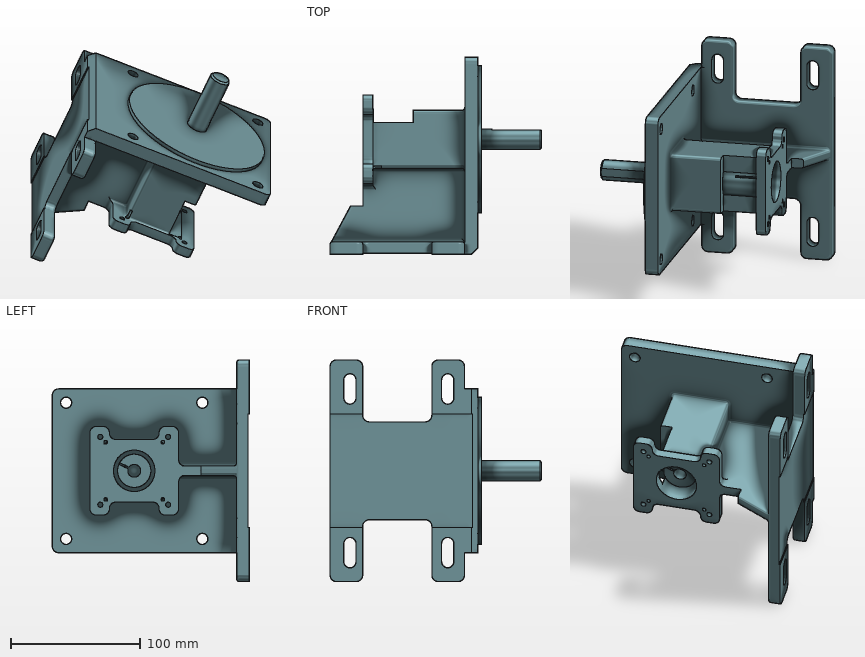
import cadquery as cq


PLATE_BACK_X = 104.2
PLATE_THICKNESS = 10.1
PLATE_FRONT_X = PLATE_BACK_X + PLATE_THICKNESS
PLATE_HALF = 63.5
PLATE_CORNER_R = 5.1
PLATE_BOLT_OFFSET = 52.6
PLATE_BOLT_DIA = 8.4
PILOT_DIA = 113.8
PILOT_HEIGHT = 3.0

AXIS_HEIGHT = 89.0
BASE_BOTTOM_Y = -AXIS_HEIGHT
BASE_THICKNESS = 9.8
BASE_TOP_Y = BASE_BOTTOM_Y + BASE_THICKNESS
BASE_HALF_WIDTH = 85.7
BASE_WAIST_HALF = 37.9
BASE_CORNER_R = 5.1
BASE_EDGE_R = 2.0
FRONT_CHAMFER = 5.0
FOOT_LENGTH = 25.4
FOOT_PITCH = 78.7
SLOT_X = 15.5
SLOT_PITCH = 75.6
SLOT_Z = 63.3
SLOT_LENGTH = 23.3
SLOT_WIDTH = 9.3
RECESS_HALF = 43.7
RECESS_DEPTH = 0.9

MOTOR_FACE_X = 25.5
MOTOR_PLATE_THICKNESS = 7.5
MOTOR_BACK_X = MOTOR_FACE_X + MOTOR_PLATE_THICKNESS
MOTOR_HALF = 34.3
EAR_WIDTH = 15.1
EAR_HEIGHT = 10.1
EAR_R = 5.0
LARGE_SCREW_OFFSET = 26.2
LARGE_SCREW_DIA = 4.0
SMALL_SCREW_OFFSET = 22.1
SMALL_SCREW_DIA = 2.7
SMALL_SCREW_DEPTH = 14.2

TUNNEL_HALF_Y = 22.5
TUNNEL_HALF_Z = 22.5
TUNNEL_EDGE_R = 2.5
CAST_FILLET_R = 2.5
BORE_DIA = 32.0
BORE_END_X = PLATE_BACK_X
NOTCH_START_X = 33.8
NOTCH_END_X = 64.3
NOTCH_FLOOR_Y = 13.0

RIB_THICKNESS = 7.5
RIB_STEP_X = 16.0
RIB_STEP_Y = -51.5
RIB_EDGE_R = 2.0
RIB_PLATE_R = 4.8
STEM_LENGTH = 6.9

PICK_MARGIN = 0.2

COUPLING_FACE_X = 36.9
COUPLING_LENGTH = 36.0
COUPLING_DIA = 25.7
COUPLING_BORE_DIA = 10.0
SLIT_WIDTH = 1.4
SLIT_ANGLE = 26.0

SHAFT_DIA = 16.0
SHAFT_START_X = COUPLING_FACE_X + COUPLING_LENGTH / 2
SHAFT_END_X = 163.5
SHAFT_CHAMFER = 1.4
FLAT_START_X = 125.2
FLAT_DEPTH = 0.7


def box(x_range, y_range, z_range):
    """Axis-aligned block between the given (low, high) pairs."""
    lows, highs = zip(x_range, y_range, z_range)
    sizes = [high - low for low, high in zip(lows, highs)]
    return cq.Workplane().box(*sizes, centered=False).translate(lows)


def cross_section(x):
    """Workplane normal to the shaft axis, with local axes along +Y and +Z."""
    return cq.Workplane("YZ", origin=(x, 0, 0))


def rod(start_x, end_x, diameter):
    return cross_section(start_x).circle(diameter / 2).extrude(end_x - start_x)


def square_pattern(offset):
    return [(y, z) for y in (-offset, offset) for z in (-offset, offset)]


def make_base():
    """Base slab: two feet on each side, rounded along the top and joined by a waist."""
    second_foot_end = FOOT_PITCH + FOOT_LENGTH
    slab = box((0, second_foot_end), (BASE_BOTTOM_Y, BASE_TOP_Y), (-BASE_HALF_WIDTH, BASE_HALF_WIDTH))
    gap_depth = BASE_HALF_WIDTH - BASE_WAIST_HALF
    for side in (-1, 1):
        gap = box(
            (FOOT_LENGTH, FOOT_PITCH),
            (BASE_BOTTOM_Y, BASE_TOP_Y),
            (-gap_depth / 2, gap_depth / 2),
        )
        slab = slab.cut(gap.translate((0, 0, side * (BASE_WAIST_HALF + gap_depth / 2))))
    slab = slab.edges("|Y").fillet(BASE_CORNER_R)
    slab = slab.faces(">Y").edges().fillet(BASE_EDGE_R)
    web = box(
        (second_foot_end - BASE_CORNER_R, PLATE_BACK_X),
        (BASE_BOTTOM_Y, BASE_TOP_Y),
        (-PLATE_HALF, PLATE_HALF),
    )
    return slab.union(web)


def make_flange():
    """Square flange plate, extended down to the underside of the base, with its pilot."""
    plate = box(
        (PLATE_BACK_X, PLATE_FRONT_X),
        (BASE_BOTTOM_Y, PLATE_HALF),
        (-PLATE_HALF, PLATE_HALF),
    )
    plate = plate.edges("|X and >Y").fillet(PLATE_CORNER_R)
    plate = plate.edges("|Z and <Y and >X").chamfer(FRONT_CHAMFER)
    pilot = rod(PLATE_FRONT_X, PLATE_FRONT_X + PILOT_HEIGHT, PILOT_DIA)
    return plate.union(pilot)


def make_tunnel():
    tunnel = box(
        (MOTOR_FACE_X, PLATE_BACK_X),
        (-TUNNEL_HALF_Y, TUNNEL_HALF_Y),
        (-TUNNEL_HALF_Z, TUNNEL_HALF_Z),
    )
    return tunnel.edges("|X").fillet(TUNNEL_EDGE_R)


def make_rib():
    """Rib with a sloping front edge, carrying the tunnel; its root lies inside the base."""
    root_y = BASE_TOP_Y - BASE_EDGE_R
    rib = (
        cq.Workplane("XY", origin=(0, 0, -RIB_THICKNESS / 2))
        .moveTo(0, root_y)
        .lineTo(RIB_STEP_X, RIB_STEP_Y)
        .lineTo(MOTOR_FACE_X, RIB_STEP_Y)
        .lineTo(MOTOR_FACE_X, 0)
        .lineTo(PLATE_BACK_X, 0)
        .lineTo(PLATE_BACK_X, root_y)
        .close()
        .extrude(RIB_THICKNESS)
    )
    slope_middle = (RIB_STEP_X / 2, (root_y + RIB_STEP_Y) / 2)
    slope_edges = rib.edges(
        cq.selectors.BoxSelector(
            (slope_middle[0] - PICK_MARGIN, slope_middle[1] - PICK_MARGIN, -RIB_THICKNESS),
            (slope_middle[0] + PICK_MARGIN, slope_middle[1] + PICK_MARGIN, RIB_THICKNESS),
        )
    )
    return slope_edges.fillet(RIB_EDGE_R)


def motor_plate_outline(depth):
    """Square with four rounded ears and a stem that runs into the rib."""
    waist_half = MOTOR_HALF - EAR_HEIGHT
    gap_half = MOTOR_HALF - EAR_WIDTH
    square = cross_section(MOTOR_FACE_X).rect(2 * MOTOR_HALF, 2 * MOTOR_HALF).extrude(depth)
    gap = cross_section(MOTOR_FACE_X).rect(2 * gap_half, EAR_HEIGHT).extrude(depth)
    for side in (-1, 1):
        square = square.cut(gap.translate((0, 0, side * (waist_half + EAR_HEIGHT / 2))))
    outline = square.edges("|X").fillet(EAR_R)
    stem = (
        cross_section(MOTOR_FACE_X)
        .center(-MOTOR_HALF - STEM_LENGTH / 2, 0)
        .rect(STEM_LENGTH, RIB_THICKNESS)
        .extrude(depth)
    )
    outline = outline.union(stem)
    stem_corners = cq.selectors.BoxSelector(
        (MOTOR_FACE_X - PICK_MARGIN, -MOTOR_HALF - PICK_MARGIN, -RIB_THICKNESS),
        (MOTOR_FACE_X + depth + PICK_MARGIN, -MOTOR_HALF + PICK_MARGIN, RIB_THICKNESS),
    )
    return outline.edges("|X").edges(stem_corners).fillet(RIB_PLATE_R)


def inner_corner_edges(body):
    """Edges where the tunnel and the rib meet the two plates, the base and each other."""
    rib_side = RIB_THICKNESS / 2
    regions = [
        ((PLATE_BACK_X, BASE_TOP_Y), (PLATE_BACK_X, TUNNEL_HALF_Y), TUNNEL_HALF_Z),
        ((MOTOR_BACK_X, -MOTOR_HALF - STEM_LENGTH), (MOTOR_BACK_X, TUNNEL_HALF_Y), TUNNEL_HALF_Z),
        ((MOTOR_BACK_X, -TUNNEL_HALF_Y), (PLATE_BACK_X, -TUNNEL_HALF_Y), rib_side),
        ((RIB_EDGE_R, BASE_TOP_Y), (PLATE_BACK_X, BASE_TOP_Y), rib_side),
    ]
    edges = []
    for (low_x, low_y), (high_x, high_y), half_z in regions:
        region = cq.selectors.BoxSelector(
            (low_x - PICK_MARGIN, low_y - PICK_MARGIN, -half_z - PICK_MARGIN),
            (high_x + PICK_MARGIN, high_y + PICK_MARGIN, half_z + PICK_MARGIN),
            boundingbox=True,
        )
        edges += body.edges(region).vals()
    return body.newObject(edges)


def make_casting():
    """Flange, base, rib, tunnel and motor plate in one piece, with their inner fillets."""
    blank_half = MOTOR_HALF + STEM_LENGTH
    blank = box((MOTOR_FACE_X, MOTOR_BACK_X), (-blank_half, blank_half), (-blank_half, blank_half))
    casting = make_flange().union(make_base()).union(make_rib()).union(make_tunnel()).union(blank)
    casting = inner_corner_edges(casting).fillet(CAST_FILLET_R)

    depth = MOTOR_PLATE_THICKNESS + CAST_FILLET_R
    surplus = cross_section(MOTOR_FACE_X).rect(2 * blank_half, 2 * blank_half).extrude(depth)
    return casting.cut(surplus.cut(motor_plate_outline(depth)))


def cut_mounting_holes(body):
    """Flange bolt holes, the two screw patterns of the motor plate and the foot slots."""
    hole_sets = [
        (PLATE_BACK_X, PLATE_FRONT_X, PLATE_BOLT_OFFSET, PLATE_BOLT_DIA),
        (MOTOR_FACE_X, MOTOR_BACK_X, LARGE_SCREW_OFFSET, LARGE_SCREW_DIA),
        (MOTOR_FACE_X, MOTOR_FACE_X + SMALL_SCREW_DEPTH, SMALL_SCREW_OFFSET, SMALL_SCREW_DIA),
    ]
    for start_x, end_x, offset, diameter in hole_sets:
        holes = (
            cross_section(start_x)
            .pushPoints(square_pattern(offset))
            .circle(diameter / 2)
            .extrude(end_x - start_x)
        )
        body = body.cut(holes)
    slot_centers = [(x, z) for x in (SLOT_X, SLOT_X + SLOT_PITCH) for z in (-SLOT_Z, SLOT_Z)]
    slots = (
        cq.Workplane("XZ", origin=(0, BASE_TOP_Y, 0))
        .pushPoints(slot_centers)
        .slot2D(SLOT_LENGTH, SLOT_WIDTH, 90)
        .extrude(BASE_THICKNESS)
    )
    return body.cut(slots)


def make_housing():
    housing = cut_mounting_holes(make_casting())
    bottom_recess = box(
        (0, PLATE_FRONT_X),
        (BASE_BOTTOM_Y, BASE_BOTTOM_Y + RECESS_DEPTH),
        (-RECESS_HALF, RECESS_HALF),
    )
    notch = box(
        (NOTCH_START_X, NOTCH_END_X),
        (NOTCH_FLOOR_Y, TUNNEL_HALF_Y + CAST_FILLET_R),
        (-TUNNEL_HALF_Z - CAST_FILLET_R, TUNNEL_HALF_Z + CAST_FILLET_R),
    )
    coupling_bore = rod(MOTOR_FACE_X, BORE_END_X, BORE_DIA)
    shaft_bore = rod(BORE_END_X, PLATE_FRONT_X + PILOT_HEIGHT, SHAFT_DIA)
    return housing.cut(bottom_recess).cut(notch).cut(coupling_bore).cut(shaft_bore)


def make_coupling():
    """Sleeve with a slit bore for the motor shaft and a socket for the output shaft."""
    coupling = rod(COUPLING_FACE_X, COUPLING_FACE_X + COUPLING_LENGTH, COUPLING_DIA)
    motor_bore = rod(COUPLING_FACE_X, SHAFT_START_X, COUPLING_BORE_DIA)
    shaft_socket = rod(SHAFT_START_X, COUPLING_FACE_X + COUPLING_LENGTH, SHAFT_DIA)
    slit = box(
        (COUPLING_FACE_X, SHAFT_START_X),
        (0, COUPLING_DIA),
        (-SLIT_WIDTH / 2, SLIT_WIDTH / 2),
    ).rotate((0, 0, 0), (1, 0, 0), SLIT_ANGLE)
    return coupling.cut(motor_bore).cut(shaft_socket).cut(slit)


def make_shaft():
    """Output shaft with a chamfered end and a shallow flat along its +Y side."""
    shaft = rod(SHAFT_START_X, SHAFT_END_X, SHAFT_DIA).faces(">X").chamfer(SHAFT_CHAMFER)
    radius = SHAFT_DIA / 2
    flat = box((FLAT_START_X, SHAFT_END_X), (radius - FLAT_DEPTH, radius), (-radius, radius))
    return shaft.cut(flat)


housing = make_housing()
coupling = make_coupling()
shaft = make_shaft()

result = cq.Compound.makeCompound([housing.val(), coupling.val(), shaft.val()])